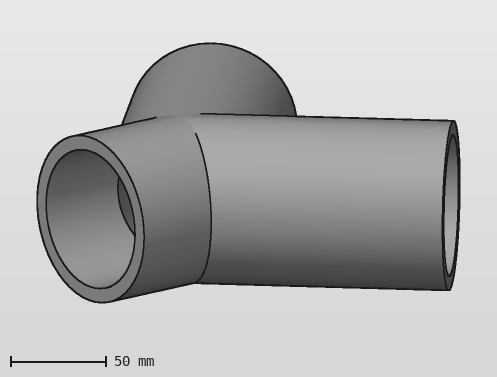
import cadquery as cq
import math

span = 260.5
outer_diameter = 88.8
bore_diameter = 73.7
stem_length = 63.5
branch_angle = math.radians(45)

outer_radius = outer_diameter / 2
branch_length = (span / 2 - outer_radius * math.cos(branch_angle)) / math.sin(branch_angle)


def mitred_elbow(diameter, side):
    """Solid round bar along the stem and one branch; side is -1 or +1 in X."""
    branch_end = (
        side * branch_length * math.sin(branch_angle),
        branch_length * math.cos(branch_angle),
    )
    path = cq.Workplane("XY").polyline([(0, -stem_length), (0, 0), branch_end])
    profile = cq.Workplane("XZ", origin=(0, -stem_length, 0)).circle(diameter / 2)
    return profile.sweep(path, transition="right")


def wye(diameter):
    """Stem and both branches as one solid bar."""
    return mitred_elbow(diameter, -1).union(mitred_elbow(diameter, 1))


result = wye(outer_diameter).cut(wye(bore_diameter))